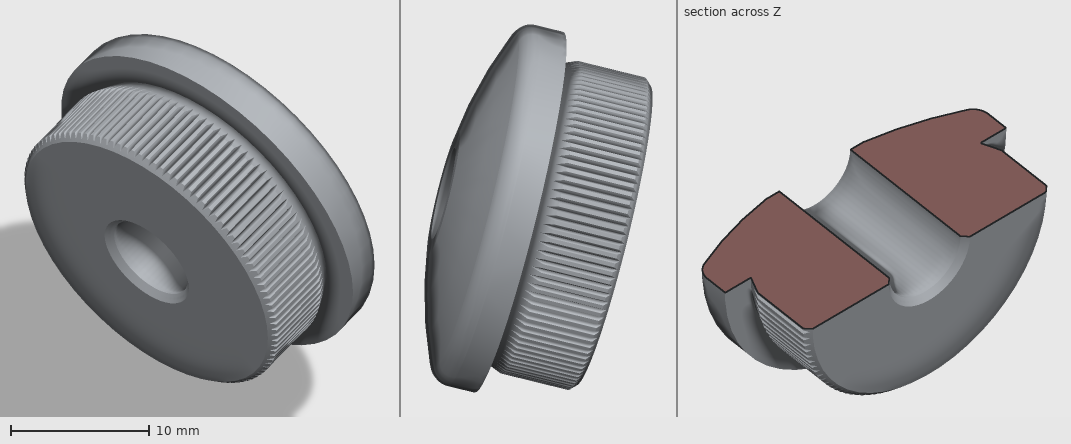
import cadquery as cq
import math

cap_radius = 13.45
total_length = 12.7
cap_rim_height = 2.02
cap_fillet_radius = 1.45
dome_radius = 31.2

spigot_length = 7.05
spigot_radius = 11.65
spigot_chamfer = 0.48
neck_length = 1.53
neck_radius = 11.0

groove_count = 110
groove_depth = 0.32
groove_angle = 60.0
groove_overshoot = 0.15

bore_radius = 3.4
bore_chamfer = 0.48


def make_spigot():
    """Spigot with a chamfered end, tapering to a thinner neck under the cap."""
    return (
        cq.Workplane("XY")
        .lineTo(spigot_radius - spigot_chamfer, 0)
        .lineTo(spigot_radius, spigot_chamfer)
        .lineTo(spigot_radius, spigot_length - neck_length)
        .lineTo(neck_radius, spigot_length)
        .lineTo(0, spigot_length)
        .close()
        .revolve(360, (0, 0, 0), (0, 1, 0))
    )


def make_knurl_prism():
    """Star-shaped prism along Y whose inner corners are the roots of the V grooves."""
    pitch_angle = 2 * math.pi / groove_count
    root_radius = spigot_radius - groove_depth
    mouth_distance = spigot_radius + groove_overshoot
    flank_height = groove_depth + groove_overshoot
    mouth_half_width = flank_height * math.tan(math.radians(groove_angle / 2))
    mouth_radius = math.hypot(mouth_distance, mouth_half_width)
    mouth_half_angle = math.atan2(mouth_half_width, mouth_distance)

    outline = []
    for groove in range(groove_count):
        center_angle = math.pi / 2 + groove * pitch_angle
        corners = (
            (mouth_radius, center_angle - mouth_half_angle),
            (root_radius, center_angle),
            (mouth_radius, center_angle + mouth_half_angle),
        )
        for radius, angle in corners:
            outline.append((radius * math.cos(angle), radius * math.sin(angle)))

    return cq.Workplane("XZ").polyline(outline).close().extrude(-spigot_length)


def make_cap():
    """Cap with a straight rim, a fillet tangent to rim and dome, and a flat on top."""
    fillet_start = spigot_length + cap_rim_height
    fillet_center_x = cap_radius - cap_fillet_radius
    center_distance = dome_radius - cap_fillet_radius
    dome_center_y = fillet_start - math.sqrt(center_distance**2 - fillet_center_x**2)
    tangent_angle = math.asin(fillet_center_x / center_distance)
    flat_angle = math.acos((total_length - dome_center_y) / dome_radius)

    def dome_point(angle_from_axis):
        return (
            dome_radius * math.sin(angle_from_axis),
            dome_center_y + dome_radius * math.cos(angle_from_axis),
        )

    fillet_mid_angle = (tangent_angle + math.pi / 2) / 2
    fillet_mid = (
        fillet_center_x + cap_fillet_radius * math.sin(fillet_mid_angle),
        fillet_start + cap_fillet_radius * math.cos(fillet_mid_angle),
    )
    dome_mid_angle = (tangent_angle + flat_angle) / 2

    return (
        cq.Workplane("XY")
        .moveTo(0, spigot_length)
        .lineTo(cap_radius, spigot_length)
        .lineTo(cap_radius, fillet_start)
        .threePointArc(fillet_mid, dome_point(tangent_angle))
        .threePointArc(dome_point(dome_mid_angle), dome_point(flat_angle))
        .lineTo(0, total_length)
        .close()
        .revolve(360, (0, 0, 0), (0, 1, 0))
    )


def make_bore():
    """Through bore with a chamfered mouth at the spigot end."""
    return (
        cq.Workplane("XY")
        .lineTo(bore_radius + bore_chamfer, 0)
        .lineTo(bore_radius, bore_chamfer)
        .lineTo(bore_radius, total_length)
        .lineTo(0, total_length)
        .close()
        .revolve(360, (0, 0, 0), (0, 1, 0))
    )


knurled_spigot = make_spigot().intersect(make_knurl_prism())
result = make_cap().union(knurled_spigot).cut(make_bore())